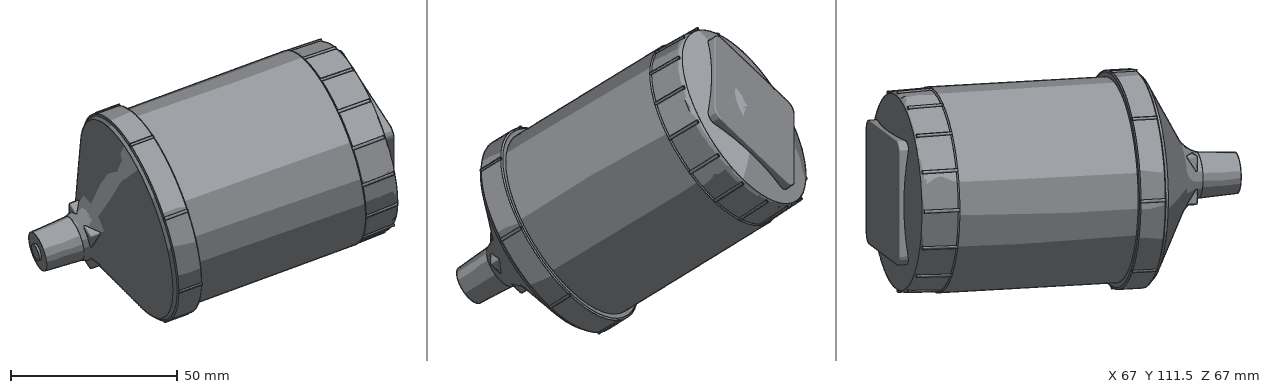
import cadquery as cq
import math

total_length = 111.5
overall_width = 67.0

pin_radius = 2.7
pin_length = 0.8
spout_tip_radius = 6.2
spout_root_radius = 7.0
spout_root_y = 12.9

neck_radius = 11.7
neck_y = 19.1
neck_sag = 0.7
funnel_radius = 31.8
funnel_top_y = 30.5

band_radius = 33.1
band_edge_radius = 32.5
band_bevel = 0.3
band_start_y = 31.5
band_end_y = 39.8

body_radius = 31.1
lid_start_y = 95.4
lid_bevel_end_y = 95.8
lid_base_radius = 30.8
lid_shoulder_y = 105.2
lid_shoulder_radius = 30.4
dome_edge_y = 106.9
dome_edge_radius = 29.8

rib_width = 1.0
rib_edge_radius = 0.3
band_rib_count = 8
band_rib_radius = overall_width / 2
band_rib_inset = 0.2
lid_rib_count = 16
lid_rib_root_radius = 29.0
lid_rib_radius = 31.2
lid_rib_end_y = 106.3
lid_rib_end_radius = 30.9

plate_side = 38.1
plate_corner_radius = 3.2
plate_edge_radius = 0.3
plate_base_y = 104.8
plate_top_y = 111.0

collar_side = 15.2
collar_start_y = 14.7
collar_edge_radius = 0.7


def block(side, start_y, end_y):
    """Square block centred on the Y axis."""
    return cq.Workplane("XY").box(side, end_y - start_y, side).translate((0, (start_y + end_y) / 2, 0))


def revolved_body():
    rise = neck_y - spout_root_y
    spread = neck_radius - spout_root_radius
    chord = math.hypot(rise, spread)
    neck_mid = (
        (spout_root_radius + neck_radius) / 2 - neck_sag * rise / chord,
        (spout_root_y + neck_y) / 2 + neck_sag * spread / chord,
    )

    dome_height = total_length - dome_edge_y
    dome_radius = (dome_edge_radius**2 + dome_height**2) / (2 * dome_height)
    dome_mid_radius = dome_edge_radius / 2
    dome_mid_y = total_length - dome_radius + math.sqrt(dome_radius**2 - dome_mid_radius**2)

    profile = (
        cq.Workplane("XY")
        .moveTo(0, 0)
        .lineTo(pin_radius, 0)
        .lineTo(pin_radius, pin_length)
        .lineTo(spout_tip_radius, pin_length)
        .lineTo(spout_root_radius, spout_root_y)
        .threePointArc(neck_mid, (neck_radius, neck_y))
        .lineTo(funnel_radius, funnel_top_y)
        .lineTo(band_edge_radius, band_start_y)
        .lineTo(band_radius, band_start_y + band_bevel)
        .lineTo(band_radius, band_end_y - band_bevel)
        .lineTo(band_edge_radius, band_end_y)
        .lineTo(body_radius, band_end_y)
        .lineTo(body_radius, lid_start_y)
        .lineTo(lid_base_radius, lid_bevel_end_y)
        .lineTo(lid_shoulder_radius, lid_shoulder_y)
        .tangentArcPoint((dome_edge_radius, dome_edge_y), relative=False)
        .threePointArc((dome_mid_radius, dome_mid_y), (0, total_length))
        .close()
    )
    return profile.revolve(360, (0, 0, 0), (0, 1, 0))


def ribs(outline, count):
    """Round-edged ribs with the given radial outline, spread evenly around the Y axis."""
    rib = cq.Workplane("XY").polyline(outline).close().extrude(rib_width / 2, both=True)
    rib = rib.faces(">X").edges("not |Z").fillet(rib_edge_radius)
    return [rib.rotate((0, 0, 0), (0, 1, 0), 360 * index / count) for index in range(count)]


def band_ribs():
    start_y = band_start_y + band_rib_inset
    end_y = band_end_y - band_rib_inset
    outline = [
        (body_radius, start_y),
        (band_rib_radius, start_y),
        (band_rib_radius, end_y),
        (body_radius, end_y),
    ]
    return ribs(outline, band_rib_count)


def lid_ribs():
    outline = [
        (lid_rib_root_radius, lid_start_y),
        (lid_rib_radius, lid_start_y),
        (lid_rib_end_radius, lid_rib_end_y),
        (lid_rib_root_radius, lid_rib_end_y),
    ]
    return ribs(outline, lid_rib_count)


def dome_plate():
    plate = block(plate_side, plate_base_y, plate_top_y)
    return plate.edges("|Y").fillet(plate_corner_radius).faces(">Y").edges().fillet(plate_edge_radius)


def neck_collar():
    collar = block(collar_side, collar_start_y, neck_y)
    return collar.edges("|Y or <Y").fillet(collar_edge_radius)


result = revolved_body()
for rib in band_ribs() + lid_ribs():
    result = result.union(rib)
result = result.union(dome_plate()).union(neck_collar())